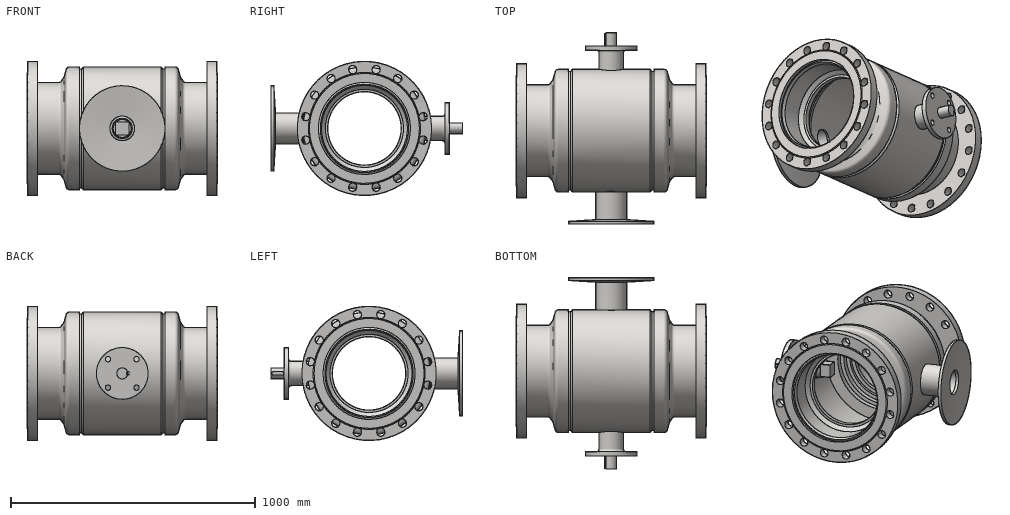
import cadquery as cq
import math


face_to_face = 780.0
overall_width_y = 784.58
half_length = face_to_face / 2

flange_radius = 275.0
flange_thickness = 43.0
raised_face_radius = 225.0
raised_face_height = 2.0
raised_face_flare = 4.5
bolt_count = 16
bolt_circle_radius = 245.0
bolt_hole_diameter = 33.0

pipe_radius = 188.5
pipe_bore_radius = 176.0
pipe_setback = 11.0
pipe_mouth_radius = 181.0
pipe_mouth_length = 15.0
pipe_end_bevel = 4.0
cap_radius = 252.0
cap_rim_x = 175.5
cap_rim_length = 39.5
shoulder_slope = math.radians(75.0)
shoulder_round = 16.0
neck_slope = math.radians(57.0)
neck_round = 13.0
neck_start_x = 260.0
throat_cone_x = 270.0
throat_cone_radius = 160.0
throat_face_x = 254.0
throat_radius = 150.0
seat_steps = [(232.0, throat_radius), (215.0, 165.0), (186.0, 180.0), (156.0, 195.0)]
spigot_end_x = seat_steps[-1][0]

shell_radius = cap_radius
shell_bore_radius = 243.5
shell_half_length = 166.0
shell_bevel_length = 6.5

stem_radius = 41.0
stem_top_y = 401.8
journal_radius = 22.5
tang_root_radius = 37.0
tang_width = 54.0
tang_start_y = 220.0
tang_root_y = 200.0
tang_end_y = 160.0
key_width = 14.0
key_length = 50.0
key_end_gap = 3.0
key_outer_x = 27.5
key_height = 10.0

housing_radius = 50.5
actuator_flange_radius = 106.0
actuator_flange_top_y = 348.0
actuator_flange_thickness = 18.5
actuator_flange_underside_y = actuator_flange_top_y - actuator_flange_thickness
actuator_fillet = 10.0
actuator_bolt_count = 4
actuator_bolt_circle_radius = 82.5
actuator_bolt_diameter = 22.0

foot_pipe_radius = 64.0
foot_bore_radius = 50.5
foot_inner_y = -250.0
plate_radius = 175.0
plate_thickness = 12.0
plate_dish = 8.0
plate_rim_y = stem_top_y - overall_width_y
plate_back_y = plate_rim_y + plate_thickness


def y_cylinder(radius, y_start, y_end):
    """Cylinder on the Y axis between two Y positions."""
    return (
        cq.Workplane("XZ", origin=(0, y_start, 0))
        .circle(radius)
        .extrude(y_start - y_end)
    )


def revolve_about_x(profile):
    return profile.close().revolve(360, (0, 0, 0), (1, 0, 0))


def revolve_about_y(profile):
    return profile.close().revolve(360, (0, 0, 0), (0, 1, 0))


def to_side(body, side):
    """Keep a +X body for side 1 and mirror it to the -X end for side -1."""
    return body if side > 0 else body.mirror("YZ")


def make_end_flange(side):
    face_x = half_length - raised_face_height
    back_x = half_length - flange_thickness
    ring = revolve_about_x(
        cq.Workplane("XY")
        .moveTo(back_x, pipe_radius)
        .lineTo(back_x, flange_radius)
        .lineTo(face_x, flange_radius)
        .lineTo(face_x, raised_face_radius + raised_face_flare)
        .lineTo(half_length, raised_face_radius)
        .lineTo(half_length, pipe_radius)
    )
    bolt_holes = (
        cq.Workplane("YZ", origin=(back_x, 0, 0))
        .polarArray(bolt_circle_radius, 180 / bolt_count, 360, bolt_count)
        .circle(bolt_hole_diameter / 2)
        .extrude(flange_thickness)
    )
    return to_side(ring.cut(bolt_holes), side)


def make_end_cap(side):
    pipe_end_x = half_length - pipe_setback
    rim_end_x = cap_rim_x + cap_rim_length
    shoulder_foot_x = rim_end_x + shoulder_round * math.sin(shoulder_slope)
    shoulder_foot_radius = cap_radius - shoulder_round * (1 - math.cos(shoulder_slope))
    neck_top_x = neck_start_x - neck_round * math.sin(neck_slope)
    neck_top_radius = pipe_radius + neck_round * (1 - math.cos(neck_slope))
    steep = math.tan(shoulder_slope)
    shallow = math.tan(neck_slope)
    knee_x = (
        shoulder_foot_radius - neck_top_radius + shoulder_foot_x * steep - neck_top_x * shallow
    ) / (steep - shallow)
    knee_radius = neck_top_radius + (neck_top_x - knee_x) * shallow
    outline = (
        cq.Workplane("XY")
        .moveTo(spigot_end_x, shell_bore_radius)
        .lineTo(cap_rim_x, shell_bore_radius)
        .lineTo(cap_rim_x, cap_radius)
        .lineTo(rim_end_x, cap_radius)
        .tangentArcPoint((shoulder_foot_x, shoulder_foot_radius), relative=False)
        .lineTo(knee_x, knee_radius)
        .lineTo(neck_top_x, neck_top_radius)
        .tangentArcPoint((neck_start_x, pipe_radius), relative=False)
        .lineTo(pipe_end_x - pipe_end_bevel, pipe_radius)
        .lineTo(pipe_end_x, pipe_mouth_radius)
        .lineTo(pipe_end_x - pipe_mouth_length, pipe_bore_radius)
        .lineTo(throat_cone_x, pipe_bore_radius)
        .lineTo(throat_face_x, throat_cone_radius)
    )
    step_start_x = throat_face_x
    for step_end_x, step_radius in seat_steps:
        outline = outline.lineTo(step_start_x, step_radius).lineTo(step_end_x, step_radius)
        step_start_x = step_end_x
    return to_side(revolve_about_x(outline), side)


def make_shell():
    bevel_start_x = shell_half_length - shell_bevel_length
    tube = revolve_about_x(
        cq.Workplane("XY")
        .moveTo(-shell_half_length, shell_bore_radius)
        .lineTo(-bevel_start_x, shell_radius)
        .lineTo(bevel_start_x, shell_radius)
        .lineTo(shell_half_length, shell_bore_radius)
    )
    return tube.cut(y_cylinder(stem_radius, -shell_radius, shell_radius))


def cut_saddle(body):
    """Cut the shell's outer cylinder out of a branch, so that it sits on the shell."""
    saddle = (
        cq.Workplane("YZ")
        .circle(shell_radius)
        .extrude(shell_half_length, both=True)
    )
    return body.cut(saddle)


def make_stem_housing():
    housing = revolve_about_y(
        cq.Workplane("XY")
        .moveTo(stem_radius, 0)
        .lineTo(housing_radius, 0)
        .lineTo(housing_radius, actuator_flange_underside_y - actuator_fillet)
        .tangentArcPoint((housing_radius + actuator_fillet, actuator_flange_underside_y), relative=False)
        .lineTo(actuator_flange_radius, actuator_flange_underside_y)
        .lineTo(actuator_flange_radius, actuator_flange_top_y)
        .lineTo(journal_radius, actuator_flange_top_y)
        .lineTo(journal_radius, actuator_flange_underside_y)
        .lineTo(stem_radius, actuator_flange_underside_y)
    )
    bolt_holes = (
        cq.Workplane("XZ", origin=(0, actuator_flange_top_y, 0))
        .polarArray(actuator_bolt_circle_radius, 180 / actuator_bolt_count, 360, actuator_bolt_count)
        .circle(actuator_bolt_diameter / 2)
        .extrude(actuator_flange_thickness)
    )
    return cut_saddle(housing).cut(bolt_holes)


def make_key():
    """Round-ended key on the -X side of the stem."""
    return (
        cq.Workplane("YZ", origin=(-key_outer_x, 0, 0))
        .center(stem_top_y - key_end_gap - key_length / 2, 0)
        .slot2D(key_length, key_width)
        .extrude(key_height)
    )


def make_stem(key):
    shaft = (
        y_cylinder(stem_radius, tang_start_y, actuator_flange_underside_y)
        .union(y_cylinder(journal_radius, actuator_flange_underside_y, stem_top_y))
        .union(y_cylinder(tang_root_radius, tang_root_y, tang_start_y))
    )
    tang = (
        cq.Workplane("XZ", origin=(0, tang_end_y, 0))
        .rect(tang_width, tang_width)
        .extrude(tang_end_y - tang_root_y)
        .intersect(y_cylinder(tang_root_radius, tang_end_y, tang_root_y))
    )
    return shaft.union(tang).cut(key)


def plate_back_at(radius):
    """Y position of the plate's conical back at a given radius."""
    return plate_back_y + plate_dish * (plate_radius - radius) / (plate_radius - foot_bore_radius)


def make_foot_pipe():
    pipe = revolve_about_y(
        cq.Workplane("XY")
        .moveTo(foot_bore_radius, foot_inner_y)
        .lineTo(foot_pipe_radius, foot_inner_y)
        .lineTo(foot_pipe_radius, plate_back_at(foot_pipe_radius))
        .lineTo(foot_bore_radius, plate_back_at(foot_bore_radius))
    )
    return cut_saddle(pipe)


def make_foot_plate():
    return revolve_about_y(
        cq.Workplane("XY")
        .moveTo(plate_radius, plate_rim_y)
        .lineTo(plate_radius, plate_back_y)
        .lineTo(foot_bore_radius, plate_back_y + plate_dish)
        .lineTo(foot_bore_radius, plate_rim_y + plate_dish)
    )


end_flanges = [make_end_flange(side) for side in (-1, 1)]
end_caps = [make_end_cap(side) for side in (-1, 1)]
shell = make_shell()
stem_housing = make_stem_housing()
key = make_key()
stem = make_stem(key)
foot_pipe = make_foot_pipe()
foot_plate = make_foot_plate()

bodies = [*end_flanges, *end_caps, shell, stem_housing, stem, key, foot_pipe, foot_plate]
result = cq.Compound.makeCompound([body.val() for body in bodies])